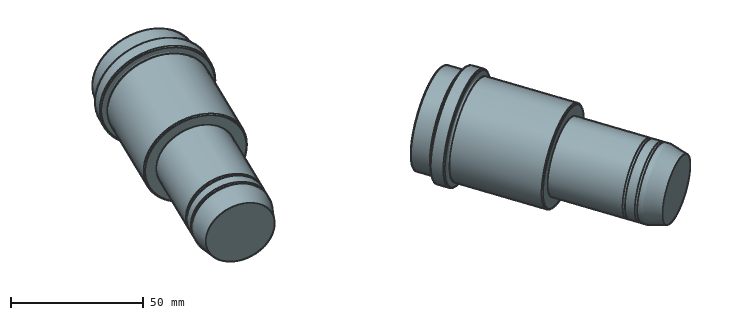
import cadquery as cq

total_length = 100.0
flange_start = 9.0
flange_width = 6.0
body_end = 54.0
taper_length = 7.2

body_diameter = 42.0
flange_diameter = 47.0
shaft_diameter = 32.0
tip_diameter = 28.0

head_chamfer = 0.4
flange_chamfer = 0.5
body_chamfer = 0.5

groove_radius = 0.5
ring_groove_centers = (85.0, 90.0)

flange_end = flange_start + flange_width


def cylinder(start, end, diameter):
    """Solid cylinder on the X axis between two axial positions."""
    return cq.Workplane("YZ", origin=(start, 0, 0)).circle(diameter / 2).extrude(end - start)


def cut_groove(part, center, surface_diameter):
    """Cut a half-round ring groove centred on a cylindrical surface."""
    groove = (
        cq.Workplane("XY")
        .center(center, surface_diameter / 2)
        .circle(groove_radius)
        .revolve(360, (0, -surface_diameter / 2), (1, -surface_diameter / 2))
    )
    return part.cut(groove)


body = cylinder(0, body_end, body_diameter)
body = body.faces("<X").chamfer(head_chamfer)
body = body.faces(">X").chamfer(body_chamfer)
for relief_center in (flange_start - groove_radius, flange_end + groove_radius):
    body = cut_groove(body, relief_center, body_diameter)

flange = cylinder(flange_start, flange_end, flange_diameter)
flange = flange.faces("<X or >X").chamfer(flange_chamfer)

tip_inset = (shaft_diameter - tip_diameter) / 2
shaft = cylinder(body_end, total_length, shaft_diameter)
shaft = shaft.faces(">X").chamfer(taper_length, tip_inset)
for groove_center in ring_groove_centers:
    shaft = cut_groove(shaft, groove_center, shaft_diameter)

result = body.union(flange).union(shaft)